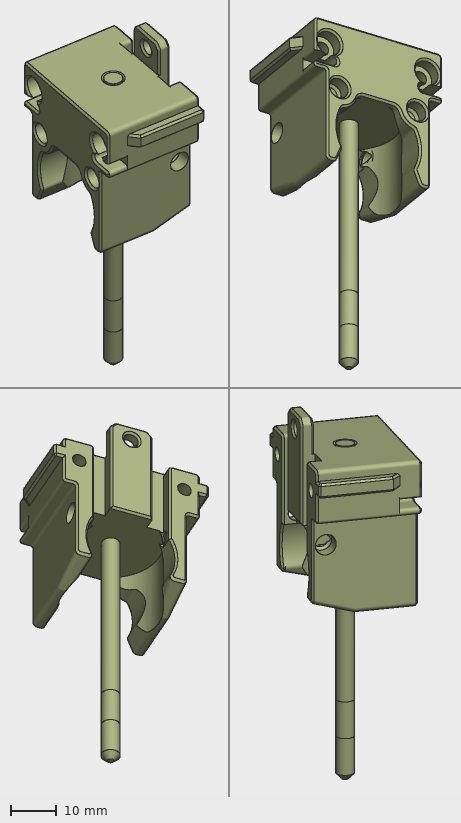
import cadquery as cq
import math


edge_chamfer = 0.5
edge_fillet = 1.0
shoulder_fillet = 0.6

front_y = -12.65
back_y = 11.7
depth = back_y - front_y
head_half_width = 16.35
shoulder_z = -12.3
leg_half_width = 13.25
leg_bottom_z = -34.9

opening_top_z = -16.35
grip_z = -25.9
grip_radius = 10.5
blind_x = 10.0
blind_z = -16.1
boss_radius = 4.7
boss_fillet = 2.0
lip_z = -31.0
lip_end_x = 10.85
lip_x = math.sqrt(grip_radius**2 - (lip_z - grip_z) ** 2)
cavity_radius = 11.6

slope_start_y = 1.7
slope_back_z = -31.85

notch_half_width = 8.95
notch_fillet = 0.9
notch_floor_y = 8.4
tab_half_width = 5.0
tab_front_y = 8.7
tab_top_z = 8.2
tab_corner = 1.3
tab_corner_fillet = 0.9
tab_hole_z = 4.5
small_hole_diameter = 3.4

rail_half_span = 18.5
rail_top_z = -2.3
rail_bottom_z = -5.7
rail_front_y = -7.6

screw_x = 12.6
screw_z = -5.6
screw_diameter = 3.2
counterbore_diameter = 5.85
counterbore_depth = 3.2

slot_top_z = -8.4
slot_bottom_z = -10.85
slot_end_x = 10.5
slot_depth = 5.2
slot_upper_fillet = 0.4
slot_lower_fillet = 0.8

bore_diameter = 4.7
bore_depth = 4.0
cross_hole_y = 8.5
cross_hole_z = -18.3

probe_diameter = 4.2
overall_height = 86.1
probe_bottom_z = tab_top_z - overall_height
point_height = 1.5
point_diameter = 1.4
segment_length = 8.5
tip_top_z = probe_bottom_z + point_height + segment_length
ring_top_z = tip_top_z + segment_length

overcut = 0.9
sides = (-1, 1)


def box(x_range, y_range, z_range):
    """Box spanning the given coordinate ranges."""
    x0, x1 = x_range
    y0, y1 = y_range
    z0, z1 = z_range
    return cq.Workplane("XY").box(x1 - x0, y1 - y0, z1 - z0, centered=False).translate((x0, y0, z0))


def front_plane(y):
    """Sketch plane at y with local axes X and Z; negative extrusion goes toward the back."""
    return cq.Workplane(cq.Plane(origin=(0, y, 0), xDir=(1, 0, 0), normal=(0, -1, 0)))


def hole_y(x, z, diameter, y_start, length):
    """Cylinder along Y that starts at y_start and runs toward the back."""
    return front_plane(y_start).center(x, z).circle(diameter / 2).extrude(-length)


def vertical_cylinder(diameter, bottom_z, top_z):
    """Cylinder on the probe axis."""
    return cq.Workplane("XY").workplane(offset=bottom_z).circle(diameter / 2).extrude(top_z - bottom_z)


def cone(start, direction, start_diameter, end_diameter, height):
    """Truncated cone from a start point along a direction."""
    solid = cq.Solid.makeCone(
        start_diameter / 2, end_diameter / 2, height, cq.Vector(*start), cq.Vector(*direction)
    )
    return cq.Workplane(obj=solid)


def countersink(start, direction, diameter):
    """45 degree rim chamfer of a hole that starts at the given point."""
    return cone(start, direction, diameter + 2 * edge_chamfer, diameter, edge_chamfer)


def on_circle(centre, radius, toward):
    """Point of the circle in the direction of another point."""
    angle = math.atan2(toward[1] - centre[1], toward[0] - centre[0])
    return centre[0] + radius * math.cos(angle), centre[1] + radius * math.sin(angle)


def arc_middle(centre, start, end):
    """Middle of the shorter arc about the centre from start to end."""
    chord_middle = ((start[0] + end[0]) / 2, (start[1] + end[1]) / 2)
    return on_circle(centre, math.dist(centre, start), chord_middle)


def grip_corner():
    """Corner of the opening where the boss around a blind hole meets the round grip."""
    dx = blind_x
    dz = blind_z - grip_z
    distance = math.hypot(dx, dz)
    along = (distance**2 + grip_radius**2 - boss_radius**2) / (2 * distance)
    across = math.sqrt(grip_radius**2 - along**2)
    x = (along * dx + across * dz) / distance
    z = grip_z + (along * dz - across * dx) / distance
    return x, z


def slab():
    """Head and legs before the clip opening is cut."""
    head = box((-head_half_width, head_half_width), (front_y, back_y), (shoulder_z, 0))
    legs = box((-leg_half_width, leg_half_width), (front_y, back_y), (leg_bottom_z, shoulder_z))
    return head.union(legs)


def opening():
    """Clip opening through the whole depth; its half outline is mirrored about X = 0."""
    boss = (blind_x, blind_z)
    fillet_z = opening_top_z - boss_fillet
    fillet_x = blind_x - math.sqrt((boss_radius + boss_fillet) ** 2 - (blind_z - fillet_z) ** 2)
    fillet = (fillet_x, fillet_z)
    fillet_start = (fillet_x, opening_top_z)
    fillet_end = on_circle(boss, boss_radius, fillet)
    half = (
        front_plane(front_y)
        .moveTo(0, opening_top_z)
        .lineTo(*fillet_start)
        .threePointArc(arc_middle(fillet, fillet_start, fillet_end), fillet_end)
        .threePointArc(arc_middle(boss, fillet_end, grip_corner()), grip_corner())
        .threePointArc((grip_radius, grip_z), (lip_x, lip_z))
        .lineTo(lip_end_x, leg_bottom_z)
        .lineTo(0, leg_bottom_z)
        .close()
        .extrude(-depth)
    )
    return half.union(half.mirror("YZ"))


def slope():
    """Wedge that lifts the underside toward the back."""
    rise = (slope_back_z - leg_bottom_z) / (back_y - slope_start_y)
    end_y = back_y + overcut
    return (
        cq.Workplane("YZ")
        .moveTo(slope_start_y, leg_bottom_z)
        .lineTo(end_y, leg_bottom_z)
        .lineTo(end_y, slope_back_z + rise * overcut)
        .close()
        .extrude(rail_half_span, both=True)
    )


def at_both_sides(x_range, y_range, z_range):
    """Selects edges whose centre lies in the given box or in its mirror image about X = 0."""
    x0, x1 = x_range
    y0, y1 = y_range
    z0, z1 = z_range
    right = cq.selectors.BoxSelector((x0, y0, z0), (x1, y1, z1))
    left = cq.selectors.BoxSelector((-x1, y0, z0), (-x0, y1, z1))
    return right + left


def fillet_profile_corner(body, x, z, radius):
    """Fillets the edges along Y that pass through (x, z) and (-x, z)."""
    near = 0.04
    corner = at_both_sides((x - near, x + near), (front_y, back_y), (z - near, z + near))
    return body.edges("|Y").edges(corner).fillet(radius)


def fillet_leg_ends(body):
    """Fillets both lower edges of each leg, along the flat and the sloped underside."""
    inside = 0.1
    ends = at_both_sides(
        (lip_end_x - edge_fillet, leg_half_width + inside),
        (front_y + inside, back_y - inside),
        (leg_bottom_z - inside, slope_back_z),
    )
    return body.edges("not |X").edges(ends).fillet(edge_fillet)


def open_back(body):
    """Opens the back between two ears with rounded top edges."""
    notch = box((-notch_half_width, notch_half_width), (notch_floor_y, back_y), (leg_bottom_z, 0))
    return fillet_profile_corner(body.cut(notch), notch_half_width, 0, notch_fillet)


def tab():
    """Plate standing up at the back with a countersunk hole, joined to the head by a low rib."""
    plate = (
        front_plane(tab_front_y)
        .moveTo(-tab_half_width, opening_top_z)
        .lineTo(tab_half_width, opening_top_z)
        .lineTo(tab_half_width, tab_top_z - tab_corner)
        .lineTo(tab_half_width - tab_corner, tab_top_z)
        .lineTo(tab_corner - tab_half_width, tab_top_z)
        .lineTo(-tab_half_width, tab_top_z - tab_corner)
        .close()
        .extrude(tab_front_y - back_y)
    )
    plate = plate.edges("|Y and (not <Z)").fillet(tab_corner_fillet)
    plate = plate.faces("<Y or >Y").edges().chamfer(edge_chamfer)
    plate = plate.cut(hole_y(0, tab_hole_z, small_hole_diameter, tab_front_y, depth))
    for y, direction in ((tab_front_y, 1), (back_y, -1)):
        plate = plate.cut(countersink((0, y, tab_hole_z), (0, direction, 0), small_hole_diameter))
    rib = box(
        (-tab_half_width, tab_half_width),
        (notch_floor_y - edge_chamfer, tab_front_y + edge_chamfer),
        (opening_top_z, 0),
    )
    return plate.union(rib)


def rail(side):
    """Guide rail on one side of the head, with its front end cut at 45 degrees."""
    reach = rail_half_span - head_half_width
    inner_x = head_half_width - overcut
    bar = (
        cq.Workplane("XY")
        .workplane(offset=rail_bottom_z)
        .moveTo(side * inner_x, rail_front_y - overcut)
        .lineTo(side * rail_half_span, rail_front_y + reach)
        .lineTo(side * rail_half_span, back_y - edge_chamfer)
        .lineTo(side * (rail_half_span - edge_chamfer), back_y)
        .lineTo(side * inner_x, back_y)
        .close()
        .extrude(rail_top_z - rail_bottom_z)
    )
    return bar.faces("<Z or >Z").edges().chamfer(edge_chamfer)


def screw_hole(side):
    """Through hole with a counterbore and a chamfered rim."""
    x = side * screw_x
    through = hole_y(x, screw_z, screw_diameter, front_y, depth)
    counterbore = hole_y(x, screw_z, counterbore_diameter, front_y, counterbore_depth)
    rim = countersink((x, front_y, screw_z), (0, 1, 0), counterbore_diameter)
    return through.union(counterbore).union(rim)


def slot_outline(side, y, grow):
    """Closed slot outline at y, flared where it leaves the head, with end and floor moved out by grow."""
    middle_z = (slot_top_z + slot_bottom_z) / 2
    centre_x = slot_end_x + (slot_top_z - slot_bottom_z) / 2
    floor_z = slot_bottom_z - grow
    lower_fillet = slot_lower_fillet - grow
    diagonal = 1 - math.sqrt(0.5)
    return (
        front_plane(y)
        .moveTo(side * rail_half_span, slot_top_z + slot_upper_fillet)
        .lineTo(side * head_half_width, slot_top_z + slot_upper_fillet)
        .threePointArc(
            (side * (head_half_width - diagonal * slot_upper_fillet), slot_top_z + diagonal * slot_upper_fillet),
            (side * (head_half_width - slot_upper_fillet), slot_top_z),
        )
        .lineTo(side * centre_x, slot_top_z)
        .threePointArc((side * (slot_end_x - grow), middle_z), (side * centre_x, floor_z))
        .lineTo(side * (head_half_width - lower_fillet), floor_z)
        .threePointArc(
            (side * (head_half_width - diagonal * lower_fillet), floor_z - diagonal * lower_fillet),
            (side * head_half_width, floor_z - lower_fillet),
        )
        .lineTo(side * rail_half_span, floor_z - lower_fillet)
        .close()
    )


def slot(side):
    """Round-ended slot in the front corner of the head, with a chamfered front rim."""
    rim_outline = slot_outline(side, front_y, edge_chamfer).val()
    inner_outline = slot_outline(side, front_y + edge_chamfer, 0).val()
    rim = cq.Workplane(obj=cq.Solid.makeLoft([rim_outline, inner_outline], True))
    return slot_outline(side, front_y, 0).extrude(-slot_depth).union(rim)


def stepped_bore(start, direction):
    """Wide bore narrowing at 45 degrees to the small hole's diameter at its inner end."""
    step = (bore_diameter - small_hole_diameter) / 2
    straight = bore_depth - step
    axis = cq.Vector(*direction)
    cone_start = cq.Vector(*start) + axis * straight
    bore = cq.Workplane(obj=cq.Solid.makeCylinder(bore_diameter / 2, straight, cq.Vector(*start), axis))
    return bore.union(cone(cone_start.toTuple(), direction, bore_diameter, small_hole_diameter, step))


def blind_hole(side):
    """Stepped blind hole with a chamfered rim."""
    start = (side * blind_x, front_y, blind_z)
    inward = (0, 1, 0)
    return stepped_bore(start, inward).union(countersink(start, inward, bore_diameter))


def cross_hole(side):
    """Hole through one leg along X, entered through a stepped bore in the outer face."""
    start = (side * leg_half_width, cross_hole_y, cross_hole_z)
    inward = (-side, 0, 0)
    small = cq.Solid.makeCylinder(
        small_hole_diameter / 2, leg_half_width, cq.Vector(*start), cq.Vector(*inward)
    )
    return stepped_bore(start, inward).union(cq.Workplane(obj=small))


def build_housing():
    """Clip housing with rails, tab, screw holes and a bore for the probe."""
    body = slab().cut(opening()).cut(slope())
    body = fillet_profile_corner(body, head_half_width, 0, edge_fillet)
    body = fillet_profile_corner(body, head_half_width, shoulder_z, shoulder_fillet)
    body = fillet_profile_corner(body, leg_half_width, shoulder_z, shoulder_fillet)
    body = fillet_profile_corner(body, lip_x, lip_z, edge_fillet)
    body = fillet_profile_corner(body, *grip_corner(), edge_fillet)
    body = fillet_leg_ends(body)
    body = open_back(body)
    body = body.faces("<Y").edges().chamfer(edge_chamfer)
    body = body.faces(">Y").edges().chamfer(edge_chamfer)
    body = body.union(tab())
    body = body.cut(vertical_cylinder(2 * cavity_radius, leg_bottom_z, opening_top_z))
    for side in sides:
        body = body.union(rail(side))
        body = body.cut(slot(side)).cut(screw_hole(side))
        body = body.cut(blind_hole(side)).cut(cross_hole(side))
    body = body.cut(vertical_cylinder(probe_diameter, opening_top_z, 0))
    return body.cut(countersink((0, 0, 0), (0, 0, -1), probe_diameter))


def build_shaft():
    """Longest piece of the probe, seated in the housing and flush with its top."""
    return vertical_cylinder(probe_diameter, ring_top_z, 0)


def build_ring():
    """Middle piece of the probe."""
    return vertical_cylinder(probe_diameter, tip_top_z, ring_top_z)


def build_tip():
    """Lowest piece of the probe, ending in a blunt cone."""
    point_top_z = probe_bottom_z + point_height
    cylinder = vertical_cylinder(probe_diameter, point_top_z, tip_top_z)
    point = cone((0, 0, point_top_z), (0, 0, -1), probe_diameter, point_diameter, point_height)
    return cylinder.union(point)


housing = build_housing()
shaft = build_shaft()
ring = build_ring()
tip = build_tip()

result = cq.Compound.makeCompound([housing.val(), shaft.val(), ring.val(), tip.val()])